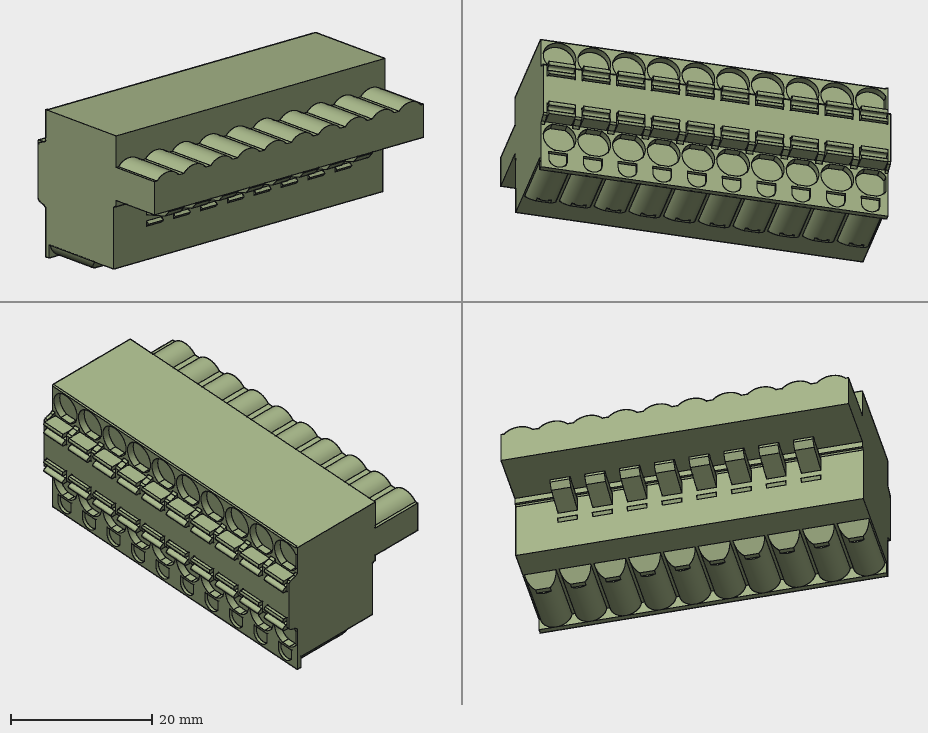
import cadquery as cq

LENGTH = 50.7
HEIGHT = 22.1
PLUG_END = 25.7
POLES = 10
PITCH = LENGTH / POLES
POLE_CENTRES = [(i + 0.5) * PITCH for i in range(POLES)]

FACE_X = 2.3
NOSE_X = 0.65
HEAD_BACK_X = 17.45
BODY_BACK_X = 16.95
LIP_BACK_X = 3.05
BODY_BOTTOM = 2.0
STEP_TOP = 11.45
STEP_BOTTOM = 11.25
EDGE_BEVEL = 0.2

NOSE_TOP = 17.45
NOSE_BOTTOM = 7.35
SHOULDER_X = 1.95
SHOULDER_DROP = 0.3
BROW_X = 0.9
BROW_DROP = 0.65
NOSE_FACE_DROP = 0.95

PLUG_BOTTOM = 12.4
PLUG_TOP = 17.4
CREST_HEIGHT = 0.9
CREST_WIDTH = 4.15

ENTRY_RADIUS = 2.4
ENTRY_OFFSET = -0.2
ENTRY_DEPTH = 1.1
END_WALL = 0.3
UPPER_ENTRY_Z = 19.35
UPPER_ENTRY_FLOOR = 17.2
LOWER_ENTRY_Z = 5.5
LOWER_ENTRY_FLOOR = 3.2
LOWER_ENTRY_ROOF = 7.6

SOCKET_Z = 1.7
SOCKET_RADIUS = 1.35
SOCKET_TOP = 2.85
SOCKET_DEPTH = 0.5
TUBE_RADIUS = 2.35
TUBE_RIM_X = 10.35
TUBE_RIM_Z = 0.25
TUBE_TAPER_X = 11.05
TUBE_BACK_X = 12.7

BUTTON_WIDTH = 3.85
BUTTON_HEIGHT = 2.15
BUTTON_OFFSET = -0.05
WINDOW_WIDTH = 4.1
UPPER_BUTTON_TOP = 16.9
LOWER_BUTTON_TOP = 10.0

TIP_ROUND_X = 0.15
TOOTH_THICKNESS = 0.65
GROOVE_MOUTH_X = 0.6
GROOVE_BOTTOM_X = 0.85
GROOVE_DROP = 1.25
LOWER_TOOTH_DROP = 1.55

LATCH_WIDTH = 2.85
LATCH_ROOT_BOTTOM = 8.7
LATCH_ROOT_TOP = 10.85
HOOK_START = (20.6, 11.0)
HOOK_CREST = (21.5, 11.1)
HOOK_TIP = (21.75, 10.45)
HOOK_HEEL = (20.95, 9.6)
CATCH_BOTTOM = 7.0
CATCH_TOP = 7.8
CATCH_REACH = 0.4


def along_y(sketch_points, start, width):
    """Extrude a closed X-Z outline along +Y from the given start."""
    outline = cq.Workplane("XZ", origin=(0, start, 0)).polyline(sketch_points).close()
    return outline.extrude(-width)


def box(x, y, z):
    """Box given by its (low, high) limits on each axis."""
    size = [high - low for low, high in (x, y, z)]
    return cq.Workplane("XY").box(*size, centered=False).translate((x[0], y[0], z[0]))


def cylinder_along_x(radius, y, z, start, end):
    return cq.Workplane("YZ", origin=(start, y, z)).circle(radius).extrude(end - start)


def housing():
    outline = [
        (FACE_X, 0),
        (LIP_BACK_X, 0),
        (LIP_BACK_X, BODY_BOTTOM),
        (BODY_BACK_X, BODY_BOTTOM),
        (BODY_BACK_X, STEP_BOTTOM),
        (BODY_BACK_X + STEP_TOP - STEP_BOTTOM, STEP_TOP),
        (HEAD_BACK_X, STEP_TOP),
        (HEAD_BACK_X, PLUG_BOTTOM),
        (PLUG_END, PLUG_BOTTOM),
        (PLUG_END, PLUG_TOP),
        (HEAD_BACK_X, PLUG_TOP),
        (HEAD_BACK_X, HEIGHT),
        (FACE_X, HEIGHT),
        (FACE_X, NOSE_TOP),
        (SHOULDER_X, NOSE_TOP - SHOULDER_DROP),
        (BROW_X, NOSE_TOP - BROW_DROP),
        (NOSE_X, NOSE_TOP - NOSE_FACE_DROP),
        (NOSE_X, NOSE_BOTTOM + NOSE_FACE_DROP),
        (BROW_X, NOSE_BOTTOM + BROW_DROP),
        (SHOULDER_X, NOSE_BOTTOM + SHOULDER_DROP),
        (FACE_X, NOSE_BOTTOM),
    ]
    return along_y(outline, 0, LENGTH)


def plug_crest(y):
    half = CREST_WIDTH / 2
    return (
        cq.Workplane("YZ", origin=(HEAD_BACK_X, y, PLUG_TOP))
        .moveTo(-half, 0)
        .threePointArc((0, CREST_HEIGHT), (half, 0))
        .close()
        .extrude(PLUG_END - HEAD_BACK_X)
    )


def wire_entry(y, z, floor, roof):
    """Round recess with flats at its floor, its roof and the end wall."""
    centre = y + ENTRY_OFFSET
    end = FACE_X + ENTRY_DEPTH
    disc = cylinder_along_x(ENTRY_RADIUS, centre, z, FACE_X, end)
    limits = box((FACE_X, end), (END_WALL, LENGTH - END_WALL), (floor, roof))
    return disc.intersect(limits)


def test_socket(y):
    """D-shaped recess: a square top on a half round."""
    return (
        cq.Workplane("YZ", origin=(FACE_X, y, SOCKET_Z))
        .moveTo(-SOCKET_RADIUS, 0)
        .threePointArc((0, -SOCKET_RADIUS), (SOCKET_RADIUS, 0))
        .lineTo(SOCKET_RADIUS, SOCKET_TOP - SOCKET_Z)
        .lineTo(-SOCKET_RADIUS, SOCKET_TOP - SOCKET_Z)
        .close()
        .extrude(SOCKET_DEPTH)
    )


def test_tube(y):
    """Round-bottomed tube under the body, tapered up into it at the back."""
    top = 2 * TUBE_RADIUS
    tube = cylinder_along_x(TUBE_RADIUS, y, TUBE_RADIUS, LIP_BACK_X, TUBE_BACK_X)
    side = [
        (LIP_BACK_X, 0),
        (TUBE_RIM_X, 0),
        (TUBE_RIM_X, TUBE_RIM_Z),
        (TUBE_TAPER_X, TUBE_RIM_Z),
        (TUBE_BACK_X, BODY_BOTTOM),
        (TUBE_BACK_X, top),
        (LIP_BACK_X, top),
    ]
    return tube.intersect(along_y(side, y - TUBE_RADIUS, 2 * TUBE_RADIUS))


def release_button(y, top):
    """Button with two round-tipped teeth and a groove between them."""
    groove_roof = top - TOOTH_THICKNESS
    groove_floor = top - GROOVE_DROP
    lower_top = top - LOWER_TOOTH_DROP
    bottom = top - BUTTON_HEIGHT
    return (
        cq.Workplane("XZ", origin=(0, y + BUTTON_OFFSET - BUTTON_WIDTH / 2, 0))
        .moveTo(FACE_X, top)
        .lineTo(TIP_ROUND_X, top)
        .threePointArc((0, (top + groove_roof) / 2), (TIP_ROUND_X, groove_roof))
        .lineTo(GROOVE_MOUTH_X, groove_roof)
        .threePointArc((GROOVE_BOTTOM_X, (groove_roof + groove_floor) / 2), (GROOVE_MOUTH_X, groove_floor))
        .lineTo(TIP_ROUND_X, lower_top)
        .threePointArc((0, (lower_top + bottom) / 2), (TIP_ROUND_X, bottom))
        .lineTo(FACE_X, bottom)
        .close()
        .extrude(-BUTTON_WIDTH)
    )


def button_window(y, bottom, top):
    centre = y + BUTTON_OFFSET
    return box((0, FACE_X), (centre - WINDOW_WIDTH / 2, centre + WINDOW_WIDTH / 2), (bottom, top))


def top_edge_bevel():
    """Corner strip along the top front edge, stopping at the near end wall."""
    corner = [(FACE_X, HEIGHT), (FACE_X + EDGE_BEVEL, HEIGHT), (FACE_X, HEIGHT - EDGE_BEVEL)]
    return along_y(corner, END_WALL, LENGTH - END_WALL)


def latch(y):
    outline = (
        cq.Workplane("XZ", origin=(0, y - LATCH_WIDTH / 2, 0))
        .moveTo(BODY_BACK_X, LATCH_ROOT_TOP)
        .lineTo(*HOOK_START)
        .threePointArc(HOOK_CREST, HOOK_TIP)
        .lineTo(*HOOK_HEEL)
        .lineTo(BODY_BACK_X, LATCH_ROOT_BOTTOM)
        .close()
    )
    return outline.extrude(-LATCH_WIDTH)


def catch(y):
    outline = [
        (BODY_BACK_X, CATCH_BOTTOM),
        (BODY_BACK_X + CATCH_REACH, (CATCH_BOTTOM + CATCH_TOP) / 2),
        (BODY_BACK_X, CATCH_TOP),
    ]
    return along_y(outline, y - LATCH_WIDTH / 2, LATCH_WIDTH)


def group(parts):
    """Gather separate parts so that one boolean handles them all."""
    solids = [solid for part in parts for solid in part.solids().vals()]
    return cq.Workplane("XY").newObject([cq.Compound.makeCompound(solids)])


windows = []
entries = []
buttons = []
additions = []
for y in POLE_CENTRES:
    windows.append(button_window(y, UPPER_BUTTON_TOP - BUTTON_HEIGHT, NOSE_TOP))
    windows.append(button_window(y, NOSE_BOTTOM, LOWER_BUTTON_TOP))
    entries.append(wire_entry(y, UPPER_ENTRY_Z, UPPER_ENTRY_FLOOR, HEIGHT))
    entries.append(wire_entry(y, LOWER_ENTRY_Z, LOWER_ENTRY_FLOOR, LOWER_ENTRY_ROOF))
    entries.append(test_socket(y))
    buttons.append(release_button(y, UPPER_BUTTON_TOP))
    buttons.append(release_button(y, LOWER_BUTTON_TOP))
    additions.append(plug_crest(y))
    additions.append(test_tube(y))

for y in POLE_CENTRES[1:-1]:
    additions.append(latch(y))
    additions.append(catch(y))

body = housing().cut(top_edge_bevel()).union(group(additions))
result = body.cut(group(windows)).cut(group(entries)).union(group(buttons))